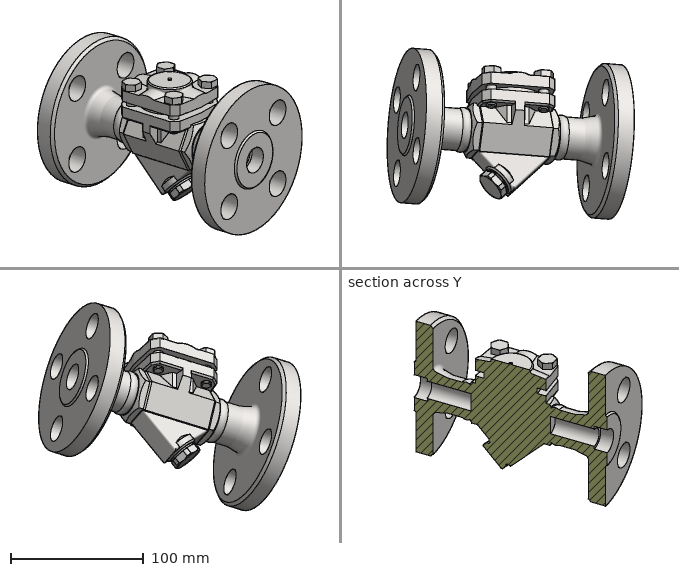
import cadquery as cq
import math

overall_length = 165.0
flange_dia = 117.0
flange_thickness = 14.8
flange_chamfer = 2.3
raised_face_height = 1.5
raised_face_dia = 43.3
raised_face_base_dia = 45.8
bolt_hole_dia = 20.0
bolt_circle_dia = 82.0
hub_fillet = 2.5
hub_dia = 36.5
neck_dia = 32.0
neck_start_x = 54.3
bead_dia = 34.0
bead_end_x = 41.4
bead_edge_drop = 1.5
root_overlap = 1.0
socket_dia = 20.0
socket_depth = 11.0
bore_dia = 15.0
bore_end_x = 34.0

body_half_length = 34.6
end_hex_flats = 37.0
middle_hex_flats = 38.8
middle_half_length = 28.0
middle_chamfer_length = 1.3
end_cone_length = 3.0
end_cone_small_dia = 33.0

plate_half_x = 28.3
plate_half_y = 28.2
plate_apex_x = 30.3
plate_corner = 5.4
body_plate_bottom = 15.3
body_plate_top = 25.0
body_plate_chamfer = 1.4
cover_bottom = 29.5
cover_top = 38.4
gasket_dia = 45.8

disc_dia = 34.0
disc_top = 44.1
disc_chamfer = 1.0
disc_foot_round = 1.0
center_pip_dia = 3.0
center_pip_height = 0.7
rib_radius = 17.0
rib_outer_top = 40.1
side_rib_slope = 6.5
front_rib_slope = 4.5

bolt_offset = 20.4
bolt_dia = 8.0
bolt_tip_z = 13.2
bolt_tip_chamfer = 0.8
bolt_head_flats = 13.0
bolt_head_top = 43.8
bolt_head_chamfer = 0.5

pillar_half_width = 3.6
wing_outer_x = 15.6
wing_outer_y = 13.6
wing_inner_x = 8.6
wing_inner_y = 21.4
pillar_root_half_width = 5.2

web_half_length = 28.4
web_tip_z = -47.0
web_half_thickness = 10.0
web_edge_round = 1.5
plug_axis_z = -27.8
boss_dia = 26.0
boss_start = 26.4
boss_end = 34.6
boss_chamfer_length = 2.0
boss_chamfer_depth = 3.2
boss_rim_chamfer = 1.4
collar_dia = 21.0
plug_head_start = 36.1
plug_head_end = 42.1
plug_head_flats = 22.0
plug_head_corner_dia = 23.5
plug_head_chamfer = 0.8


def hex_bar(flats, half_length):
    """Hexagonal bar along X with flats facing +Z and -Z."""
    corner_dia = flats / math.cos(math.pi / 6)
    return cq.Workplane("YZ").polygon(6, corner_dia).extrude(half_length, both=True)


def mirrored_in_x(shape):
    return shape.union(shape.mirror("YZ"))


def pipe_end():
    """Flange, tapered hub, neck and weld bead on the +X side."""
    face_x = overall_length / 2
    front_x = face_x - raised_face_height
    back_x = front_x - flange_thickness
    root_x = body_half_length - root_overlap
    flange_r = flange_dia / 2
    neck_r = neck_dia / 2
    bead_r = bead_dia / 2
    hub_r = hub_dia / 2
    slope_angle = math.atan2(hub_r - neck_r, back_x - hub_fillet - neck_start_x)
    profile = (
        cq.Workplane("XZ")
        .moveTo(root_x, 0)
        .lineTo(root_x, bead_r - bead_edge_drop)
        .lineTo(body_half_length, bead_r - bead_edge_drop)
        .threePointArc(
            ((body_half_length + bead_end_x) / 2, bead_r),
            (bead_end_x, neck_r),
        )
        .lineTo(neck_start_x, neck_r)
        .lineTo(back_x - hub_fillet, hub_r)
        .tangentArcPoint(
            (back_x, hub_r + hub_fillet * math.tan(math.pi / 4 + slope_angle / 2)),
            relative=False,
        )
        .lineTo(back_x, flange_r - flange_chamfer)
        .lineTo(back_x + flange_chamfer, flange_r)
        .lineTo(front_x, flange_r)
        .lineTo(front_x, raised_face_base_dia / 2)
        .lineTo(face_x, raised_face_dia / 2)
        .lineTo(face_x, 0)
        .close()
    )
    end = profile.revolve(360, (0, 0, 0), (1, 0, 0))
    bolt_holes = (
        cq.Workplane("YZ")
        .polarArray(bolt_circle_dia / 2, 45, 360, 4)
        .circle(bolt_hole_dia / 2)
        .extrude(overall_length)
    )
    return end.cut(bolt_holes)


def body_bar():
    """Hexagonal body: slim coned ends around a slightly larger middle."""
    corner_r = end_hex_flats / math.sqrt(3)
    cone_start = body_half_length - end_cone_length
    envelope = (
        cq.Workplane("XZ")
        .moveTo(0, 0)
        .lineTo(0, corner_r)
        .lineTo(cone_start, corner_r)
        .lineTo(body_half_length, end_cone_small_dia / 2)
        .lineTo(body_half_length, 0)
        .close()
        .revolve(360, (0, 0, 0), (1, 0, 0))
    )
    ends = hex_bar(end_hex_flats, body_half_length).intersect(mirrored_in_x(envelope))
    step = (middle_hex_flats - end_hex_flats) / 2
    middle = hex_bar(middle_hex_flats, middle_half_length)
    for side in (">X", "<X"):
        middle = middle.faces(side).chamfer(step, middle_chamfer_length)
    return ends.union(middle)


def plate(bottom, top):
    """Plate with cut corners and shallow points on the -X and +X sides."""
    corner_x = plate_half_x - plate_corner
    corner_y = plate_half_y - plate_corner
    return (
        cq.Workplane("XY", origin=(0, 0, bottom))
        .moveTo(plate_apex_x, 0)
        .lineTo(plate_half_x, corner_y)
        .lineTo(corner_x, plate_half_y)
        .lineTo(-corner_x, plate_half_y)
        .lineTo(-plate_half_x, corner_y)
        .lineTo(-plate_apex_x, 0)
        .lineTo(-plate_half_x, -corner_y)
        .lineTo(-corner_x, -plate_half_y)
        .lineTo(corner_x, -plate_half_y)
        .lineTo(plate_half_x, -corner_y)
        .close()
        .extrude(top - bottom)
    )


def buttress():
    """Pillar with two flared wings on the -Y side, between the body and the body plate.

    The pillar is flush with the plate, and the underside continues the lower hex face.
    """
    edge_y = middle_hex_flats / math.sqrt(3)
    knee_z = (plate_half_y - edge_y) * math.sqrt(3)
    top_z = body_plate_bottom + body_plate_chamfer
    side_profile = (
        cq.Workplane("YZ")
        .moveTo(0, 0)
        .lineTo(-edge_y, 0)
        .lineTo(-plate_half_y, knee_z)
        .lineTo(-plate_half_y, top_z)
        .lineTo(0, top_z)
        .close()
        .extrude(wing_outer_x, both=True)
    )
    footprint = (
        cq.Workplane("XY")
        .moveTo(-wing_outer_x, 0)
        .lineTo(-wing_outer_x, -wing_outer_y)
        .lineTo(-wing_inner_x, -wing_inner_y)
        .lineTo(-pillar_root_half_width, -wing_inner_y)
        .lineTo(-pillar_half_width, -plate_half_y)
        .lineTo(pillar_half_width, -plate_half_y)
        .lineTo(pillar_root_half_width, -wing_inner_y)
        .lineTo(wing_inner_x, -wing_inner_y)
        .lineTo(wing_outer_x, -wing_outer_y)
        .lineTo(wing_outer_x, 0)
        .close()
        .extrude(top_z)
    )
    return side_profile.intersect(footprint)


def cover_rib(slope):
    """Arched rib from the middle of the cover down toward +X, as a tilted cylinder."""
    length = 2 * plate_apex_x
    axis_z = rib_outer_top - rib_radius / math.cos(math.radians(slope))
    return (
        cq.Workplane("YZ")
        .circle(rib_radius)
        .extrude(length, both=True)
        .rotate((0, 0, 0), (0, 1, 0), slope)
        .translate((plate_half_y, 0, axis_z))
    )


def cover():
    """Cover plate with four arched ribs and a round disc in the middle."""
    body = plate(cover_bottom, cover_top)
    rib_limit = plate(cover_bottom, disc_top)
    toward_x = cq.Workplane("XY").box(
        plate_apex_x, plate_apex_x, disc_top, centered=(False, True, False)
    )
    for turn in range(4):
        slope = side_rib_slope if turn % 2 == 0 else front_rib_slope
        half_rib = cover_rib(slope).intersect(toward_x)
        rib = half_rib.rotate((0, 0, 0), (0, 0, 1), 90 * turn)
        body = body.union(rib.intersect(rib_limit))
    disc = (
        cq.Workplane("XY", origin=(0, 0, cover_bottom))
        .circle(disc_dia / 2)
        .extrude(disc_top - cover_bottom)
        .faces(">Z")
        .chamfer(disc_chamfer)
    )
    pip = (
        cq.Workplane("XY", origin=(0, 0, disc_top))
        .circle(center_pip_dia / 2)
        .extrude(center_pip_height)
    )
    body = body.union(disc)
    reach = disc_dia / 2 + disc_foot_round
    rim = cq.selectors.BoxSelector(
        (-reach, -reach, (cover_bottom + cover_top) / 2),
        (reach, reach, disc_top - 2 * disc_chamfer),
    )
    body = body.edges(rim).edges("not %LINE").fillet(disc_foot_round)
    return body.union(pip)


def cover_bolt(head_turn):
    """Bolt with a hexagon head on the cover and a tip below the body plate."""
    corner_dia = bolt_head_flats / math.cos(math.pi / 6)
    shank = (
        cq.Workplane("XY", origin=(0, 0, bolt_tip_z))
        .circle(bolt_dia / 2)
        .extrude(cover_top - bolt_tip_z)
        .faces("<Z")
        .chamfer(bolt_tip_chamfer)
    )
    head = (
        cq.Workplane("XY", origin=(0, 0, cover_top))
        .polygon(6, corner_dia)
        .extrude(bolt_head_top - cover_top)
        .rotate((0, 0, 0), (0, 0, 1), head_turn)
    )
    rounding = (
        cq.Workplane("XY", origin=(0, 0, cover_top))
        .circle(corner_dia / 2)
        .extrude(bolt_head_top - cover_top)
        .faces(">Z")
        .chamfer(bolt_head_chamfer)
    )
    return shank.union(head.intersect(rounding))


def strainer_web():
    """Triangular web below the body."""
    shoulder_z = web_tip_z + web_half_length
    web = (
        cq.Workplane("XZ")
        .moveTo(-web_half_length, shoulder_z)
        .lineTo(0, web_tip_z)
        .lineTo(web_half_length, shoulder_z)
        .close()
        .extrude(web_half_thickness, both=True)
    )
    return web.faces("<Y or >Y").edges("not |X").fillet(web_edge_round)


def strainer_plug():
    """Boss, collar and hexagon plug on an axis pointing down toward +X."""
    axis = cq.Plane(origin=(0, 0, plug_axis_z), xDir=(0, 1, 0), normal=(1, 0, -1))
    outward = cq.selectors.DirectionMinMaxSelector(axis.zDir, True)
    axis_origin_station = -plug_axis_z / math.sqrt(2)

    def disk(diameter, start, end):
        plane = cq.Workplane(axis).workplane(offset=start - axis_origin_station)
        return plane.circle(diameter / 2).extrude(end - start)

    boss = disk(boss_dia, boss_start, boss_end)
    boss = boss.faces(outward).chamfer(boss_rim_chamfer)
    inner_rim = boss.faces(cq.selectors.DirectionMinMaxSelector(axis.zDir, False))
    boss = inner_rim.chamfer(boss_chamfer_length, boss_chamfer_depth)
    collar = disk(collar_dia, boss_end, plug_head_start)
    rounding = disk(plug_head_corner_dia, plug_head_start, plug_head_end)
    rounding = rounding.faces(outward).chamfer(plug_head_chamfer)
    head = (
        cq.Workplane(axis)
        .workplane(offset=plug_head_start - axis_origin_station)
        .transformed(rotate=(0, 0, 30))
        .polygon(6, plug_head_flats / math.cos(math.pi / 6))
        .extrude(plug_head_end - plug_head_start)
        .intersect(rounding)
    )
    return boss.union(collar).union(head)


def flow_bore():
    """Socket and narrower bore into the +X end."""
    face_x = overall_length / 2
    socket = cq.Workplane("YZ", origin=(face_x - socket_depth, 0, 0)).circle(socket_dia / 2)
    bore = cq.Workplane("YZ", origin=(bore_end_x, 0, 0)).circle(bore_dia / 2)
    return socket.extrude(socket_depth).union(bore.extrude(face_x - bore_end_x))


def gasket():
    """Disk between the body plate and the cover."""
    return (
        cq.Workplane("XY", origin=(0, 0, body_plate_top))
        .circle(gasket_dia / 2)
        .extrude(cover_bottom - body_plate_top)
    )


def all_cover_bolts():
    """Four bolts, with the heads turned alternately by half a flat."""
    bolts = cq.Workplane("XY")
    for x_side in (-1, 1):
        for y_side in (-1, 1):
            head_turn = 30 if x_side == y_side else 0
            place = (x_side * bolt_offset, y_side * bolt_offset, 0)
            bolts = bolts.add(cover_bolt(head_turn).translate(place))
    return bolts.combine()


body_plate = plate(body_plate_bottom, body_plate_top).faces("<Z").chamfer(body_plate_chamfer)
front_buttress = buttress()

result = body_bar()
result = result.union(front_buttress).union(front_buttress.mirror("XZ"))
result = result.union(body_plate).union(gasket()).union(cover())
result = result.union(all_cover_bolts())
result = result.union(strainer_web()).union(strainer_plug())
result = result.union(mirrored_in_x(pipe_end()))
result = result.cut(mirrored_in_x(flow_bore()))